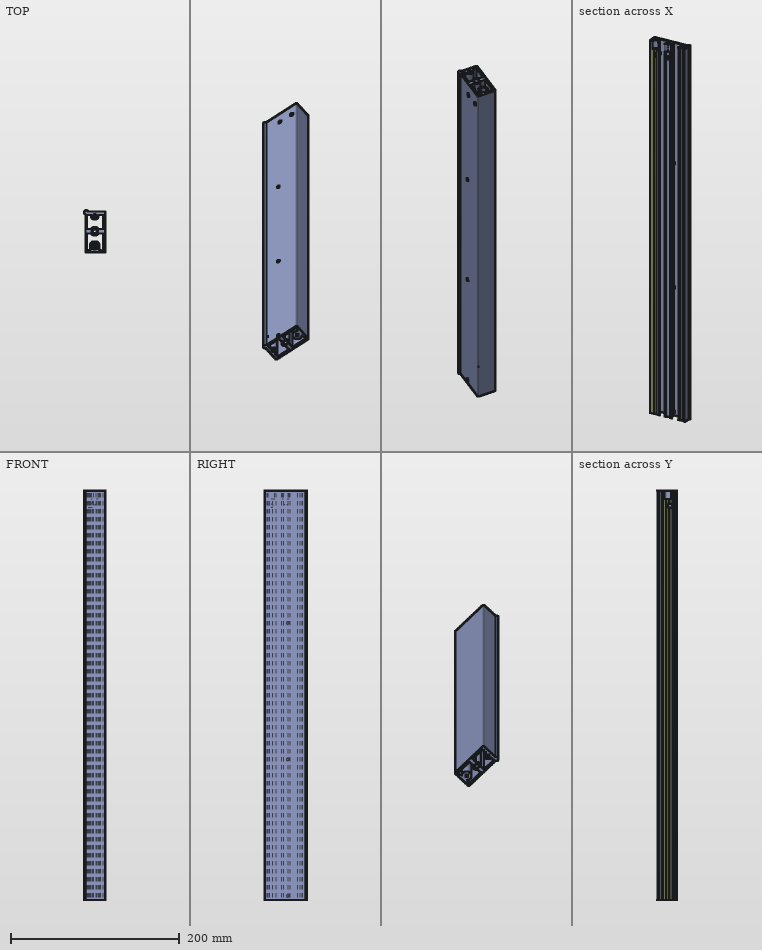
import cadquery as cq

length = 485.0
overall_width = 25.0
overall_depth = 50.0

bead_radius = 2.5
bead_height = 5.0
bead_bend_radius = 2.0
bead_overhang = 1.5
body_width = overall_width - bead_overhang
body_depth = overall_depth - bead_overhang
corner_radius = 1.0

left_wall = 2.0
right_wall = 2.5
front_wall = 2.5
back_slab = 4.2
web_thickness = 5.5
web_y = 25.0
cavity_left = bead_overhang + left_wall
cavity_right = overall_width - right_wall

port_x = 12.5
back_port_y = 43.5
front_port_y = 7.5
ports = (
    (back_port_y, 4.6, 1.6, None),
    (web_y, 5.0, 2.5, 3.6),
    (front_port_y, 5.7, 1.6, 3.9),
)
counterbore_depth = 10.0

foot_half_width = 7.0
foot_top_half_width = 4.5
foot_height = 1.5

cross_hole_diameter = 4.5
cross_hole_z = length - 18.0
cross_hole_ys = (web_y, front_port_y)

pin_hole_diameter = 3.5
pin_hole_y = 27.5
pin_hole_first_z = 5.0
pin_hole_count = 3
pin_hole_pitch = length / pin_hole_count


def bar(y, radius, depth=length):
    """Round bar on a port axis, reaching down from the top end of the extrusion."""
    return cq.Workplane("XY", origin=(port_x, y, length - depth)).circle(radius).extrude(depth)


def bead():
    """Lug with a round crown, a short flat outer side and a rounded lower corner."""
    crown_y = overall_depth - bead_radius
    bead_bottom = overall_depth - bead_height
    lower_bend_y = bead_bottom + bead_bend_radius
    return (
        cq.Workplane("XY")
        .moveTo(2 * bead_radius, crown_y)
        .radiusArc((bead_radius, overall_depth), -bead_radius)
        .radiusArc((0, crown_y), -bead_radius)
        .lineTo(0, lower_bend_y)
        .radiusArc((bead_bend_radius, bead_bottom), -bead_bend_radius)
        .lineTo(2 * bead_radius, bead_bottom)
        .close()
        .extrude(length)
    )


def body():
    block = cq.Workplane("XY").box(body_width, body_depth, length, centered=False)
    block = block.edges("|Z").edges(">X or <Y").fillet(corner_radius)
    return block.translate((bead_overhang, 0, 0)).union(bead())


def cavity(y_low, y_high):
    """Full-length rectangular chamber between the side walls."""
    width = cavity_right - cavity_left
    chamber = cq.Workplane("XY").box(width, y_high - y_low, length, centered=False)
    return chamber.translate((cavity_left, y_low, 0))


def port_foot():
    """Full-length trapezoid rising from the inner face of the front wall."""
    top_y = front_wall + foot_height
    return (
        cq.Workplane("XY")
        .moveTo(port_x - foot_half_width, front_wall)
        .lineTo(port_x + foot_half_width, front_wall)
        .lineTo(port_x + foot_top_half_width, top_y)
        .lineTo(port_x - foot_top_half_width, top_y)
        .close()
        .extrude(length)
    )


def side_hole(y, z, diameter, end_x):
    """Hole drilled along X from the left side as far as the given X."""
    return cq.Workplane("YZ", origin=(0, y, z)).circle(diameter / 2).extrude(end_x)


def add_ports(section):
    for y, outer_radius, bore_radius, counterbore_radius in ports:
        section = section.union(bar(y, outer_radius)).cut(bar(y, bore_radius))
        if counterbore_radius:
            section = section.cut(bar(y, counterbore_radius, counterbore_depth))
    return section


def drill_side_holes(section):
    for y in cross_hole_ys:
        section = section.cut(side_hole(y, cross_hole_z, cross_hole_diameter, port_x))
    for index in range(pin_hole_count):
        z = pin_hole_first_z + index * pin_hole_pitch
        section = section.cut(side_hole(pin_hole_y, z, pin_hole_diameter, cavity_left))
    return section


section = body()
section = section.cut(cavity(front_wall, web_y - web_thickness / 2))
section = section.cut(cavity(web_y + web_thickness / 2, body_depth - back_slab))
section = add_ports(section.union(port_foot()))
result = drill_side_holes(section)